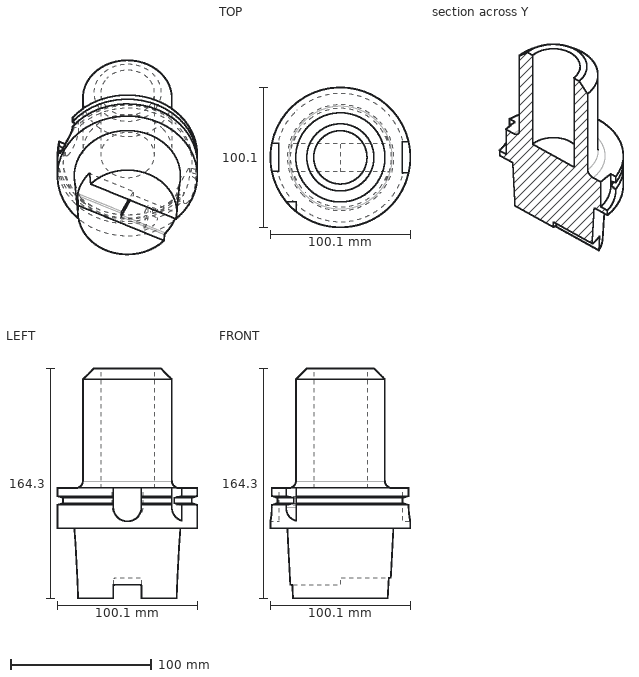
import cadquery as cq

total_height = 164.3
flange_bottom = 50.0
flange_top = 78.9

taper_end_radius = 35.3
taper_root_radius = 38.0
flange_radius = 50.03
column_radius = 31.9
column_top_radius = 24.0
column_chamfer_height = 7.9
root_fillet = 5.0

groove_floor_radius = 46.0
groove_upper_edge = 5.8
groove_lower_edge = 12.2
groove_bevel_height = 1.3

bore_radius = 19.0
bore_depth = total_height - flange_top

slot_width = 20.0
wide_slot_width = 22.0
slot_depth = 23.8
slot_floor_x = 44.0
notch_wall_x = 31.5
notch_floor_y = 31.7

keyway_width = 20.0
left_keyway_height = 9.7
right_keyway_height = 14.6
keyway_corner_radius = 1.0


def turned_body():
    groove_top = flange_top - groove_upper_edge
    groove_bottom = flange_top - groove_lower_edge
    profile = (
        cq.Workplane("XZ")
        .lineTo(taper_end_radius, 0)
        .lineTo(taper_root_radius, flange_bottom)
        .lineTo(flange_radius, flange_bottom)
        .lineTo(flange_radius, groove_bottom)
        .lineTo(groove_floor_radius, groove_bottom + groove_bevel_height)
        .lineTo(groove_floor_radius, groove_top - groove_bevel_height)
        .lineTo(flange_radius, groove_top)
        .lineTo(flange_radius, flange_top)
        .lineTo(column_radius + root_fillet, flange_top)
        .radiusArc((column_radius, flange_top + root_fillet), root_fillet)
        .lineTo(column_radius, total_height - column_chamfer_height)
        .lineTo(column_top_radius, total_height)
        .lineTo(0, total_height)
        .close()
    )
    return profile.revolve(360, (0, 0, 0), (0, 1, 0))


def rim_slot(width, start_x, end_x, center_y=0):
    """Slot along X, open at the flange top, with a half-round bottom."""
    radius = width / 2
    bottom = flange_top - slot_depth
    return (
        cq.Workplane("YZ", origin=(start_x, center_y, 0))
        .moveTo(-radius, flange_top)
        .lineTo(-radius, bottom + radius)
        .threePointArc((0, bottom), (radius, bottom + radius))
        .lineTo(radius, flange_top)
        .close()
        .extrude(end_x - start_x)
    )


def keyway(height, side):
    """Keyway from the axis outward; side is -1 for -X and 1 for +X."""
    return (
        cq.Workplane("XY")
        .center(side * taper_root_radius / 2, 0)
        .rect(taper_root_radius, keyway_width)
        .extrude(height)
        .edges("|X and >Z")
        .fillet(keyway_corner_radius)
    )


bore = cq.Workplane("XY", origin=(0, 0, total_height)).circle(bore_radius).extrude(-bore_depth)

left_slot = rim_slot(slot_width, -flange_radius, -slot_floor_x)
right_slot = rim_slot(wide_slot_width, slot_floor_x, flange_radius)
corner_notch = rim_slot(slot_width, -flange_radius, -notch_wall_x, -notch_floor_y - slot_width / 2)

result = (
    turned_body()
    .cut(bore)
    .cut(left_slot)
    .cut(right_slot)
    .cut(corner_notch)
    .cut(keyway(left_keyway_height, -1))
    .cut(keyway(right_keyway_height, 1))
)